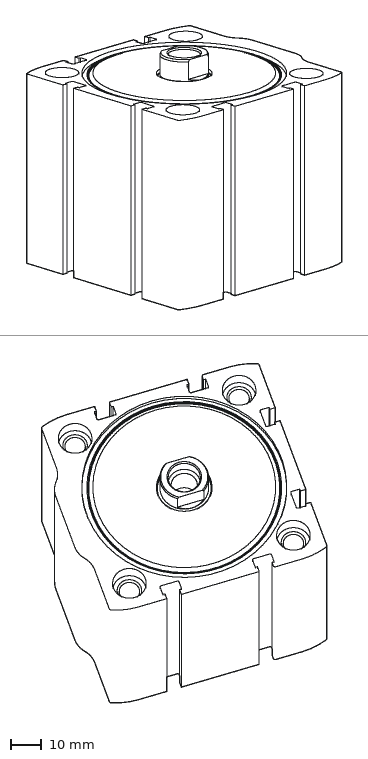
import cadquery as cq
import math

barrel_width = 75.0
barrel_height = 65.0
total_depth = 78.5
half_width = barrel_width / 2
bulge_top = total_depth - half_width

corner_inset = 1.9
corner_length = 9.2
corner_bow = 0.5
corner_radius = 0.8
pad_half_length = 9.9
pad_foot = 19.9

slot_offset = 15.9
slot_mouth = 5.0
slot_lip = 1.9
slot_width = 6.5
slot_depth = 5.1
slot_corner_radius = 0.5
slot_edge_radius = 0.6

hole_spacing = 56.5
hole_diameter = 6.7
hole_chamfer_diameter = 8.0
counterbore_diameter = 11.0
counterbore_depth = 5.0

cover_edge_radius = 29.9
cover_bevel_radius = 30.5
cover_bevel_drop = 0.3
cover_radius = 31.25
bore_radius = 63.0 / 2
gap_drop = 0.95
groove_shelf_radius = 31.9
groove_shelf_drop = 0.6
groove_radius = 67.0 / 2
groove_drop = 1.6

rod_diameter = 16.0
rod_top = 72.0
rod_bottom = 31.4
rod_chamfer_width = 0.3
rod_chamfer_height = 0.7
flat_width = 13.2
flat_base = 0.3
flat_slope = 0.5
seal_diameter = 18.1
seal_foot_diameter = 17.6
seal_lip_drop = 0.5
seal_drop = 1.25

bore_mouth_diameter = 11.3
bore_mouth_height = 0.55
bore_diameter = 10.5
bore_depth = 4.7
drill_diameter = 8.55
drill_depth = 15.7
drill_point_angle = 120.0


def barrel_outline():
    """Square profile with curved corner flanks and a blended pad on the +Y side."""
    corner_x = half_width - corner_inset
    flank_y = half_width - corner_length
    flank_mid_x = half_width - corner_inset / 2 + corner_bow
    flank_mid_y = half_width - corner_length / 2
    blend_x = (pad_half_length + pad_foot) / 2
    blend_y = (half_width + bulge_top) / 2
    run = blend_x - pad_half_length
    rise = bulge_top - blend_y
    blend_radius = (run ** 2 + rise ** 2) / (2 * rise)
    return (
        cq.Workplane("XY")
        .moveTo(-corner_x, -half_width)
        .lineTo(corner_x, -half_width)
        .threePointArc((flank_mid_x, -flank_mid_y), (half_width, -flank_y))
        .lineTo(half_width, flank_y)
        .threePointArc((flank_mid_x, flank_mid_y), (corner_x, half_width))
        .lineTo(pad_foot, half_width)
        .radiusArc((blend_x, blend_y), blend_radius)
        .radiusArc((pad_half_length, bulge_top), -blend_radius)
        .lineTo(-pad_half_length, bulge_top)
        .radiusArc((-blend_x, blend_y), -blend_radius)
        .radiusArc((-pad_foot, half_width), blend_radius)
        .lineTo(-corner_x, half_width)
        .threePointArc((-flank_mid_x, flank_mid_y), (-half_width, flank_y))
        .lineTo(-half_width, -flank_y)
        .threePointArc((-flank_mid_x, -flank_mid_y), (-corner_x, -half_width))
        .close()
    )


def t_slot(offset, side_angle):
    """Full-height T-slot cutter on the -Y side, turned about Z to another side."""
    chamber_length = slot_depth - slot_lip
    chamber = (
        cq.Workplane("XY")
        .center(offset, -half_width + slot_lip + chamber_length / 2)
        .rect(slot_width, chamber_length)
        .extrude(barrel_height)
        .edges("|Z and >Y")
        .fillet(slot_corner_radius)
    )
    mouth = (
        cq.Workplane("XY")
        .center(offset, -half_width)
        .rect(slot_mouth, 2 * slot_lip)
        .extrude(barrel_height)
    )
    return chamber.union(mouth).rotate((0, 0, 0), (0, 0, 1), side_angle)


def revolved(points):
    """Solid of revolution about Z from (radius, height) points."""
    return cq.Workplane("XZ").polyline(points).close().revolve(360, (0, 0, 0), (0, 1, 0))


def mounting_hole():
    """Counterbored through hole with a chamfer below the counterbore."""
    floor = barrel_height - counterbore_depth
    chamfer = (hole_chamfer_diameter - hole_diameter) / 2
    return revolved([
        (0, 0),
        (hole_diameter / 2, 0),
        (hole_diameter / 2, floor - chamfer),
        (hole_chamfer_diameter / 2, floor),
        (counterbore_diameter / 2, floor),
        (counterbore_diameter / 2, barrel_height),
        (0, barrel_height),
    ])


def cover_groove():
    """Stepped ring recess that falls outward around the end cover."""
    return revolved([
        (cover_edge_radius, barrel_height),
        (cover_bevel_radius, barrel_height - cover_bevel_drop),
        (cover_radius, barrel_height - gap_drop),
        (bore_radius, barrel_height - gap_drop),
        (bore_radius, barrel_height - groove_shelf_drop),
        (groove_shelf_radius, barrel_height - groove_shelf_drop),
        (groove_radius, barrel_height - groove_drop),
        (groove_radius, barrel_height),
    ])


def rod_passage():
    """Hole for the rod, with a shallow seal recess that falls outward."""
    passage = (
        cq.Workplane("XY", origin=(0, 0, rod_bottom))
        .circle(rod_diameter / 2)
        .extrude(barrel_height - rod_bottom)
    )
    recess = revolved([
        (0, barrel_height),
        (0, barrel_height - seal_lip_drop),
        (rod_diameter / 2, barrel_height - seal_lip_drop),
        (seal_foot_diameter / 2, barrel_height - seal_drop),
        (seal_diameter / 2, barrel_height - seal_drop),
        (seal_diameter / 2, barrel_height),
    ])
    return passage.union(recess)


def vertical_edge_at(x, y):
    """Selector for the upright edge of the barrel at the given X and Y."""
    reach = corner_radius / 10
    return cq.selectors.BoxSelector(
        (x - reach, y - reach, 0),
        (x + reach, y + reach, barrel_height),
    )


def make_barrel():
    barrel = barrel_outline().extrude(barrel_height)
    for x in (-half_width + corner_inset, half_width - corner_inset):
        for y in (-half_width, half_width):
            barrel = barrel.edges(vertical_edge_at(x, y)).fillet(corner_radius)
    for side_angle in (0, 90, -90):
        for offset in (-slot_offset, slot_offset):
            barrel = barrel.cut(t_slot(offset, side_angle))
    for x in (-half_width, half_width):
        slot_edge = vertical_edge_at(x, -slot_offset - slot_mouth / 2)
        barrel = barrel.edges(slot_edge).fillet(slot_edge_radius)
    for x in (-hole_spacing / 2, hole_spacing / 2):
        for y in (-hole_spacing / 2, hole_spacing / 2):
            barrel = barrel.cut(mounting_hole().translate((x, y, 0)))
    return barrel.cut(cover_groove()).cut(rod_passage())


def flat_cutter():
    """Material beyond the +X wrench flat, ending in an outward-falling foot."""
    foot = barrel_height + flat_base
    reach = rod_diameter
    fall = (reach - flat_width / 2) * flat_slope
    return (
        cq.Workplane("XZ")
        .polyline([
            (flat_width / 2, foot),
            (reach, foot - fall),
            (reach, rod_top),
            (flat_width / 2, rod_top),
        ])
        .close()
        .extrude(rod_diameter / 2, both=True)
    )


def rod_bore():
    """Chamfered thread bore that narrows to a drilled hole with a conical point."""
    neck = (bore_diameter - drill_diameter) / 2
    point = drill_diameter / 2 / math.tan(math.radians(drill_point_angle / 2))
    return revolved([
        (0, rod_top),
        (bore_mouth_diameter / 2, rod_top),
        (bore_diameter / 2, rod_top - bore_mouth_height),
        (bore_diameter / 2, rod_top - bore_depth),
        (drill_diameter / 2, rod_top - bore_depth - neck),
        (drill_diameter / 2, rod_top - drill_depth),
        (0, rod_top - drill_depth - point),
    ])


def make_rod():
    radius = rod_diameter / 2
    rod = revolved([
        (0, rod_bottom),
        (radius, rod_bottom),
        (radius, rod_top - rod_chamfer_height),
        (radius - rod_chamfer_width, rod_top),
        (0, rod_top),
    ])
    flat = flat_cutter()
    return rod.cut(flat).cut(flat.mirror("YZ")).cut(rod_bore())


barrel = make_barrel()
rod = make_rod()
result = cq.Compound.makeCompound([barrel.val(), rod.val()])